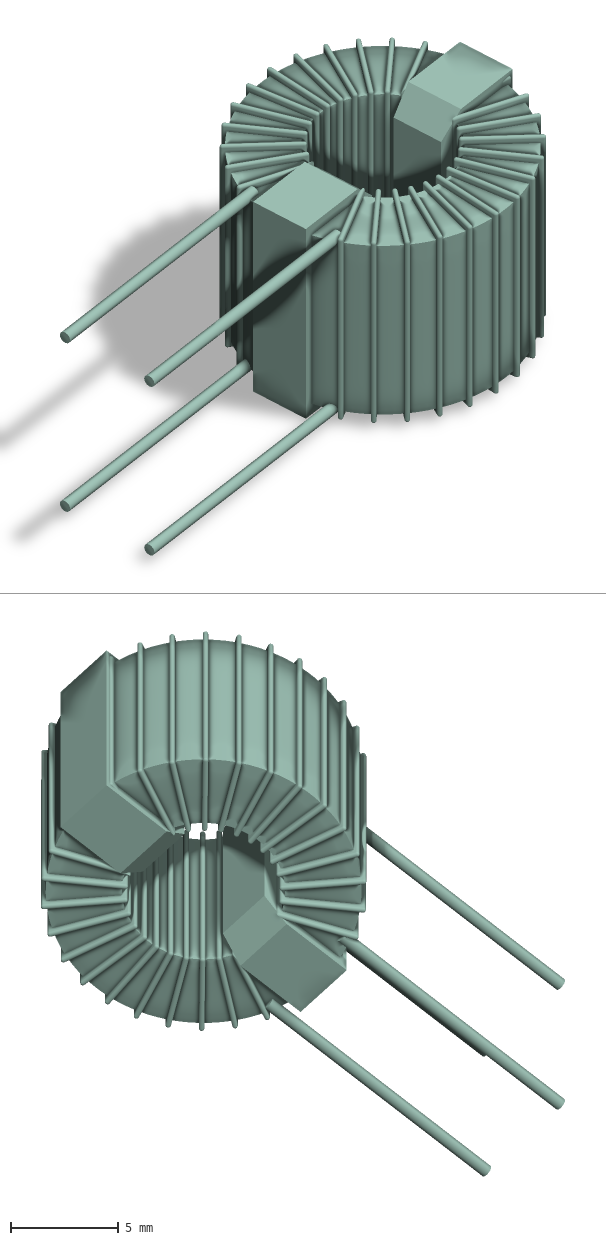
import cadquery as cq
import math

core_outer_radius = 7.366
core_inner_radius = 3.81
core_height = 10.16

wire_diameter = 0.254
wire_radius = wire_diameter / 2
turn_pitch = 12.0
first_turn_angle = turn_pitch / 2
turns_to_front = 6
turns_to_back = 7
radial_standoff = wire_diameter
axial_standoff = 1.5 * wire_diameter
turn_outer_radius = core_outer_radius + radial_standoff
turn_inner_radius = core_inner_radius - radial_standoff
turn_height = core_height + 2 * axial_standoff

block_width = 3.175
block_height = 11.43
block_outer_y = 7.62
block_inner_y = 2.54
block_chamfer = 1.27
block_draft_angle = 7.0

lead_diameter = 0.61
lead_spacing_x = 5.08
lead_spacing_z = core_height
lead_start_y = -6.43
lead_end_y = -20.32


def make_core():
    ring = cq.Workplane("XY").circle(core_outer_radius).circle(core_inner_radius)
    return ring.extrude(core_height / 2, both=True)


def make_turn():
    """One turn along +X: a flat web rimmed by round wire with ball-rounded corners."""
    rim_outer = turn_outer_radius - wire_radius
    rim_inner = turn_inner_radius + wire_radius
    rim_width = rim_outer - rim_inner
    rim_height = turn_height - wire_diameter
    turn = cq.Workplane("XY").box(rim_width, wire_diameter, rim_height)
    for side in (-1, 1):
        leg = cq.Workplane("XY", origin=(side * rim_width / 2, 0, 0))
        turn = turn.union(leg.circle(wire_radius).extrude(rim_height / 2, both=True))
        bar = cq.Workplane("YZ", origin=(0, 0, side * rim_height / 2))
        turn = turn.union(bar.circle(wire_radius).extrude(rim_width / 2, both=True))
    corners = cq.Workplane("XZ").rect(rim_width, rim_height, forConstruction=True).vertices()
    turn = turn.union(corners.sphere(wire_radius))
    return turn.translate(((rim_outer + rim_inner) / 2, 0, 0))


def make_winding():
    """All turns, placed in pairs mirrored about the YZ plane."""
    turn = make_turn().val()
    origin = cq.Vector(0, 0, 0)
    z_axis = cq.Vector(0, 0, 1)
    turns = []
    for index in range(-turns_to_front, turns_to_back):
        angle = first_turn_angle + index * turn_pitch
        for mirrored_angle in (angle, 180 - angle):
            turns.append(turn.rotate(origin, z_axis, mirrored_angle))
    return cq.Workplane("XY").newObject(turns)


def make_block_blank(side):
    """Block on the +Y (side = 1) or -Y (side = -1) part of the ring, without chamfers.

    Its flanks draw in toward the end that faces the bore.
    """
    half_width = block_width / 2
    shoulder_y = block_inner_y + block_chamfer
    tip_half_width = half_width - block_chamfer * math.tan(math.radians(block_draft_angle))
    plan = [
        (half_width, side * block_outer_y),
        (half_width, side * shoulder_y),
        (tip_half_width, side * block_inner_y),
        (-tip_half_width, side * block_inner_y),
        (-half_width, side * shoulder_y),
        (-half_width, side * block_outer_y),
    ]
    return cq.Workplane("XY").polyline(plan).close().extrude(block_height / 2, both=True)


def make_block(side):
    """Block with its bore end chamfered at the top and bottom."""
    bore_face = "<Y" if side > 0 else ">Y"
    blank = make_block_blank(side)
    return blank.faces(bore_face).edges("|X").chamfer(block_chamfer)


def make_leads():
    return (
        cq.Workplane("XZ", origin=(0, lead_start_y, 0))
        .rect(lead_spacing_x, lead_spacing_z, forConstruction=True)
        .vertices()
        .circle(lead_diameter / 2)
        .extrude(lead_start_y - lead_end_y)
    )


winding = make_winding()
for side in (-1, 1):
    winding = winding.cut(make_block_blank(side))

result = make_core().union(winding)
for side in (-1, 1):
    result = result.union(make_block(side))
result = result.union(make_leads())